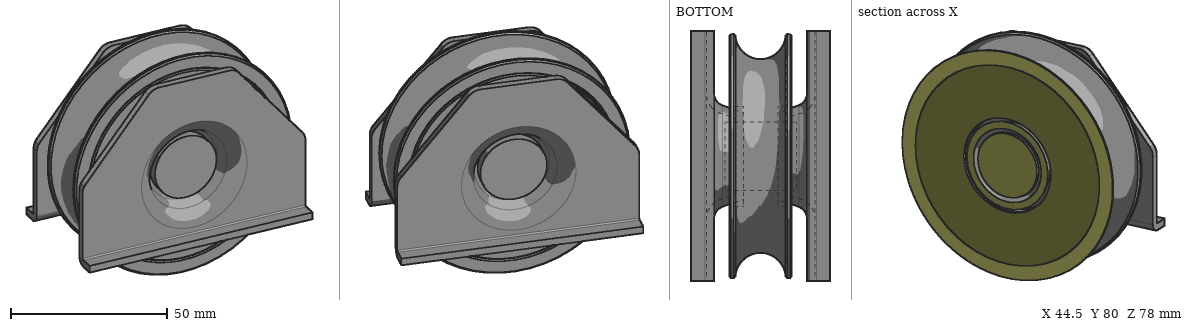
import cadquery as cq
import math


wheel_radius = 78.0 / 2
wheel_half_width = 10.0
groove_radius = 8.0
rim_chamfer = 0.6

cover_radius = 33.9
cover_thickness = 2.0
joint_chamfer = 0.5
cover_hole_radius = 16.0

pin_radius = 22.0 / 2
pin_half_length = 11.4

bracket_length = 80.0
bracket_outer_x = 17.3
sheet = 2.5
foot_edge_x = 44.5 / 2
bracket_bottom_z = -23.5
bracket_top_z = 34.6
shoulder_z = 4.6
top_half_length = 14.8
corner_radius = 5.0
bend_inner_radius = 0.5

dish_mouth_radius = 37.8 / 2
dish_root_radius = 40.0 / 2
dish_root_round = 4.0
dish_turn = math.radians(70)
floor_round = 1.5
floor_x = 7.9

bracket_inner_x = bracket_outer_x - sheet
bracket_half_length = bracket_length / 2
cover_inner_x = wheel_half_width - cover_thickness
dish_tip_x = floor_x - sheet


def revolve_about_x(profile):
    """Revolve a closed profile whose X runs along the axle and whose Y is the radius."""
    return profile.revolve(360, (0, 0, 0), (1, 0, 0))


def cylinder_about_x(radius, start_x, end_x):
    return cq.Workplane("YZ", origin=(start_x, 0, 0)).circle(radius).extrude(end_x - start_x)


def mirrored(body):
    """The same body on the other side of the YZ plane."""
    return body.mirror("YZ")


def make_wheel():
    blank = cylinder_about_x(wheel_radius, -wheel_half_width, wheel_half_width)
    groove = revolve_about_x(
        cq.Workplane("XY")
        .moveTo(-groove_radius, wheel_radius)
        .threePointArc((0, wheel_radius - groove_radius), (groove_radius, wheel_radius))
        .close()
    )
    wheel = blank.cut(groove).edges("%CIRCLE").chamfer(rim_chamfer)

    recess = cylinder_about_x(cover_radius, -wheel_half_width, -cover_inner_x)
    wheel = wheel.cut(recess).cut(mirrored(recess))
    wheel = wheel.faces("<X or >X").edges(cq.selectors.RadiusNthSelector(0)).chamfer(joint_chamfer)

    hub_recess = cylinder_about_x(cover_hole_radius, -wheel_half_width, -dish_tip_x)
    wheel = wheel.cut(hub_recess).cut(mirrored(hub_recess))
    return wheel.cut(make_pin())


def make_cover():
    """Flat ring on the -X side of the wheel, bevelled at its outer rim."""
    disc = cylinder_about_x(cover_radius, -wheel_half_width, -cover_inner_x)
    disc = disc.faces("<X").edges().chamfer(joint_chamfer)
    return disc.cut(cylinder_about_x(cover_hole_radius, -wheel_half_width, -cover_inner_x))


def make_pin():
    return cylinder_about_x(pin_radius, -pin_half_length, pin_half_length)


def bracket_sheet():
    """Bent plate with an outward foot, trimmed to its outline with sloping shoulders."""
    bent = (
        cq.Workplane("XZ", origin=(0, bracket_half_length, 0))
        .moveTo(-bracket_inner_x, bracket_top_z)
        .lineTo(-bracket_inner_x, bracket_bottom_z)
        .lineTo(-foot_edge_x, bracket_bottom_z)
        .lineTo(-foot_edge_x, bracket_bottom_z + sheet)
        .lineTo(-bracket_outer_x, bracket_bottom_z + sheet)
        .lineTo(-bracket_outer_x, bracket_top_z)
        .close()
        .extrude(bracket_length)
    )
    inner_corner = cq.selectors.NearestToPointSelector((-bracket_outer_x, 0, bracket_bottom_z + sheet))
    outer_corner = cq.selectors.NearestToPointSelector((-bracket_inner_x, 0, bracket_bottom_z))
    bent = bent.edges("|Y").edges(inner_corner).fillet(bend_inner_radius)
    bent = bent.edges("|Y").edges(outer_corner).fillet(bend_inner_radius + sheet)

    outline = (
        cq.Workplane("YZ", origin=(-foot_edge_x, 0, 0))
        .moveTo(-bracket_half_length, bracket_bottom_z)
        .lineTo(bracket_half_length, bracket_bottom_z)
        .lineTo(bracket_half_length, shoulder_z)
        .lineTo(top_half_length, bracket_top_z)
        .lineTo(-top_half_length, bracket_top_z)
        .lineTo(-bracket_half_length, shoulder_z)
        .close()
        .extrude(foot_edge_x)
    )
    shoulders = cq.selectors.BoxSelector(
        (-foot_edge_x, -bracket_length, 0), (0, bracket_length, bracket_top_z + 0.8)
    )
    outline = outline.edges("|X").edges(shoulders).fillet(corner_radius)
    return bent.intersect(outline)


def root_rounding(radius, angle):
    """Point on a rounding about the root centre, where the wall has turned by the given angle."""
    return (
        -bracket_inner_x + dish_root_round - radius * math.cos(angle),
        dish_root_radius - radius * math.sin(angle),
    )


def floor_rounding(angle):
    """Point on the floor rounding where its direction makes the given angle with the radius."""
    return (
        -floor_x - floor_round * (1 - math.cos(angle)),
        pin_radius + floor_round * math.sin(angle),
    )


def dish_profile():
    """Closed profile of the dish: concentric roundings, straight cones, floor ending at the pin."""
    mouth_rise = dish_root_radius - dish_mouth_radius
    mouth_round = math.hypot(dish_root_round + sheet, mouth_rise)
    mouth_angle = math.asin(mouth_rise / mouth_round)
    middle_angle = (mouth_angle + dish_turn) / 2
    root_end_x, root_end_radius = root_rounding(dish_root_round, dish_turn)
    tip_radius = root_end_radius - (-dish_tip_x - root_end_x) / math.tan(dish_turn)
    return (
        cq.Workplane("XY")
        .moveTo(-bracket_outer_x, dish_root_radius)
        .lineTo(*root_rounding(mouth_round, mouth_angle))
        .threePointArc(root_rounding(mouth_round, middle_angle), root_rounding(mouth_round, dish_turn))
        .lineTo(*floor_rounding(dish_turn))
        .threePointArc(floor_rounding(dish_turn / 2), floor_rounding(0))
        .lineTo(-dish_tip_x, pin_radius)
        .lineTo(-dish_tip_x, tip_radius)
        .lineTo(root_end_x, root_end_radius)
        .threePointArc(root_rounding(dish_root_round, dish_turn / 2), root_rounding(dish_root_round, 0))
        .close()
    )


def make_bracket():
    """Bracket on the -X side: bent sheet with the dish in place of its round opening."""
    opening = cylinder_about_x(dish_root_radius, -bracket_outer_x, -bracket_inner_x)
    return bracket_sheet().cut(opening).union(revolve_about_x(dish_profile()))


wheel = make_wheel()
cover = make_cover()
pin = make_pin()
bracket = make_bracket()

bodies = [wheel.val(), pin.val()]
for body in (cover, bracket):
    bodies.append(body.val())
    bodies.append(mirrored(body).val())

result = cq.Compound.makeCompound(bodies)